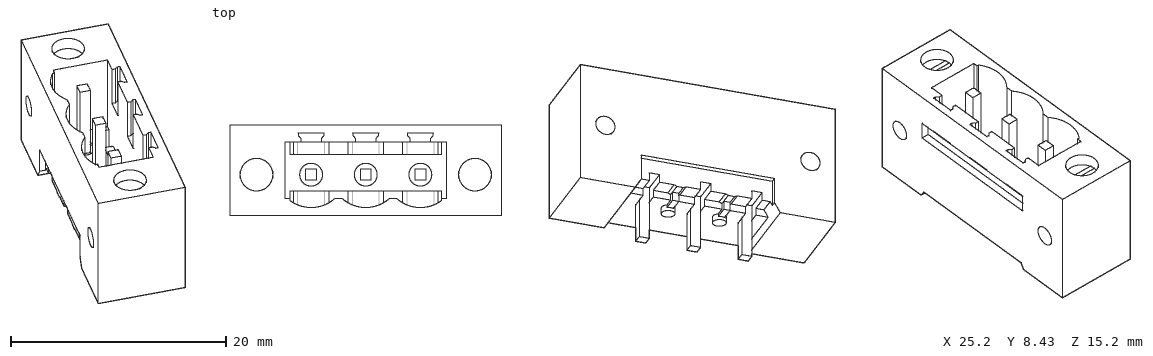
import cadquery as cq
import math


LENGTH = 25.25
DEPTH = 8.43
HEIGHT = 11.96

PITCH = 5.07
PIN_COUNT = 3
PIN_SIZE = 1
PIN_TOP = 11.18
PIN_BOTTOM = -3.23
ROW_Y = 3.8
PIN_XS = [(i - (PIN_COUNT - 1) / 2) * PITCH for i in range(PIN_COUNT)]
GAP_XS = [(left + right) / 2 for left, right in zip(PIN_XS, PIN_XS[1:])]

POCKET_LENGTH = 15.0
POCKET_FRONT = 1.6
POCKET_BACK = 6.85
POCKET_FLOOR = 4.01
SCALLOP_FRONT = 0.75
SCALLOP_RADIUS = 3.3
PIN_RECESS_DIAMETER = 2.12
PIN_RECESS_DEPTH = 0.25

TROUGH_LENGTH = 14.05
TROUGH_BASE = 1.77
ISLAND_FRONT = 2.27
ISLAND_BACK = 5.68

HUMP_WIDTH = 3.28
HUMP_RADIUS = 1.45
HUMP_FLAT_ANGLE = math.radians(60)

KEYWAY_BACK = 7.67
KEYWAY_SHOULDER = 7.45
KEYWAY_NECK_END = 7.17
KEYWAY_WIDTH = 2.37
KEYWAY_NECK_WIDTH = 1.9
KEYWAY_FLOOR = 7.93

BACK_RECESS_HEIGHT = 1.77

FLANGE_X = 2 * PITCH
SCREW_HOLE_DIAMETER = 3.03
SCREW_HOLE_DEPTH = 1.2
CAVITY_LENGTH_Y = 6.55
CAVITY_WIDTH = 4.0
CAVITY_LEDGE = 9.04
CAVITY_FLOOR = 7.57
CROSS_HOLE_DIAMETER = 1.9
CROSS_HOLE_Z = 5.98

CHANNEL_BASE_LENGTH = 14.34
CHANNEL_TOP_LENGTH = 12.75
CHANNEL_HEIGHT = 1.3
SHELF_HEIGHT = 0.6
SHELF_FRONT = ISLAND_FRONT
RECESS_LENGTH = 13.18
RECESS_TOP = 3.5
RECESS_DEPTH = 0.58
PIN_SLOT_TOP = 2.12

STANDOFF_DIAMETER = 1.29
KEEL_TOP_WIDTH = 1.19
KEEL_BOTTOM = 1.19
WEB_WIDTH = 0.63
WEB_BOTTOM = 0.33
WEB_FRONT = 1.77


def box(x_middle, width, y_start, y_end, z_start, z_end):
    """Box centred on x_middle in X, between the given Y and Z limits."""
    return cq.Workplane("XY").box(
        width, y_end - y_start, z_end - z_start, centered=(True, False, False)
    ).translate((x_middle, y_start, z_start))


def prism_along_y(profile, y_start, y_end):
    """Extrude a closed XZ profile from y_start to y_end."""
    return profile.extrude(y_start - y_end).translate((0, y_start, 0))


def vertical_cylinder(x, diameter, z_start, z_end):
    """Upright cylinder on the pin row."""
    return cq.Workplane("XY").circle(diameter / 2).extrude(z_end - z_start).translate((x, ROW_Y, z_start))


def pocket():
    """Plug pocket, with a scallop in the front wall at each pin, cut off at the trough ends."""
    space = box(0, POCKET_LENGTH, POCKET_FRONT, POCKET_BACK, POCKET_FLOOR, HEIGHT)
    return space.union(scallops(POCKET_FLOOR, HEIGHT))


def scallops(z_start, z_end):
    """Round bays in the front wall, limited to the length of the troughs."""
    limit = box(0, TROUGH_LENGTH, SCALLOP_FRONT, ISLAND_FRONT, z_start, z_end)
    bays = cq.Workplane("XY")
    for x in PIN_XS:
        bays = bays.union(
            cq.Workplane("XY").circle(SCALLOP_RADIUS).extrude(z_end - z_start)
            .translate((x, SCALLOP_FRONT + SCALLOP_RADIUS, z_start))
        )
    return limit.intersect(bays)


def hump(x, y_start, y_end):
    """Rounded ridge standing on the trough base."""
    half_width = HUMP_WIDTH / 2
    arc_x = HUMP_RADIUS * math.sin(HUMP_FLAT_ANGLE)
    arc_z = TROUGH_BASE + (half_width - arc_x) * math.tan(HUMP_FLAT_ANGLE)
    peak_z = arc_z + HUMP_RADIUS * (1 - math.cos(HUMP_FLAT_ANGLE))
    profile = (
        cq.Workplane("XZ")
        .moveTo(x - half_width, TROUGH_BASE)
        .lineTo(x - arc_x, arc_z)
        .threePointArc((x, peak_z), (x + arc_x, arc_z))
        .lineTo(x + half_width, TROUGH_BASE)
        .close()
    )
    return prism_along_y(profile, y_start, y_end)


def troughs():
    """Space of both troughs, less the humps in line with the pins."""
    front = box(0, TROUGH_LENGTH, POCKET_FRONT, ISLAND_FRONT, TROUGH_BASE, POCKET_FLOOR)
    front = front.union(scallops(TROUGH_BASE, POCKET_FLOOR))
    back = box(0, TROUGH_LENGTH, ISLAND_BACK, POCKET_BACK, TROUGH_BASE, POCKET_FLOOR)
    space = front.union(back)
    for x in PIN_XS:
        space = space.cut(hump(x, 0, DEPTH))
    return space


def keyway(x):
    """Dovetail groove, open to the pocket."""
    half_width = KEYWAY_WIDTH / 2
    half_neck = KEYWAY_NECK_WIDTH / 2
    return (
        cq.Workplane("XY")
        .polyline([
            (x - half_neck, POCKET_BACK),
            (x - half_neck, KEYWAY_NECK_END),
            (x - half_width, KEYWAY_SHOULDER),
            (x - half_width, KEYWAY_BACK),
            (x + half_width, KEYWAY_BACK),
            (x + half_width, KEYWAY_SHOULDER),
            (x + half_neck, KEYWAY_NECK_END),
            (x + half_neck, POCKET_BACK),
        ])
        .close()
        .extrude(HEIGHT - KEYWAY_FLOOR)
        .translate((0, 0, KEYWAY_FLOOR))
    )


def back_recess():
    """Long recess as deep as the keyway backs, centred on the keyway floors."""
    z_start = KEYWAY_FLOOR - BACK_RECESS_HEIGHT / 2
    return box(0, TROUGH_LENGTH, KEYWAY_BACK, DEPTH, z_start, z_start + BACK_RECESS_HEIGHT)


def flange_openings(x):
    """Screw hole with its stepped cavity, and the cross hole below it."""
    cavity_top = HEIGHT - SCREW_HOLE_DEPTH
    cavity_front = ROW_Y - CAVITY_LENGTH_Y / 2
    cavity_back = ROW_Y + CAVITY_LENGTH_Y / 2
    screw_hole = vertical_cylinder(x, SCREW_HOLE_DIAMETER, cavity_top, HEIGHT)
    upper = box(x, CAVITY_WIDTH, cavity_front, cavity_back, CAVITY_LEDGE, cavity_top)
    lower = box(x, SCREW_HOLE_DIAMETER, cavity_front, cavity_back, CAVITY_FLOOR, CAVITY_LEDGE)
    cross_hole = prism_along_y(
        cq.Workplane("XZ").center(x, CROSS_HOLE_Z).circle(CROSS_HOLE_DIAMETER / 2), 0, DEPTH
    )
    return screw_hole.union(upper).union(lower).union(cross_hole)


def underside_channel():
    """Channel with sloping ends, shallower under the shelf that carries the standoffs."""
    half_base = CHANNEL_BASE_LENGTH / 2
    half_top = CHANNEL_TOP_LENGTH / 2
    profile = (
        cq.Workplane("XZ")
        .polyline([
            (-half_base, 0),
            (-half_top, CHANNEL_HEIGHT),
            (half_top, CHANNEL_HEIGHT),
            (half_base, 0),
        ])
        .close()
    )
    shelf = box(0, CHANNEL_BASE_LENGTH, SHELF_FRONT, DEPTH, SHELF_HEIGHT, CHANNEL_HEIGHT)
    return prism_along_y(profile, 0, DEPTH).cut(shelf)


def standoff(x):
    """Round foot below the shelf, with a web and a tapered keel reaching forward from it."""
    foot = vertical_cylinder(x, STANDOFF_DIAMETER, 0, SHELF_HEIGHT)
    web = box(x, WEB_WIDTH, WEB_FRONT, ROW_Y, WEB_BOTTOM, CHANNEL_HEIGHT)
    keel_profile = (
        cq.Workplane("XZ")
        .polyline([
            (x - KEEL_TOP_WIDTH / 2, CHANNEL_HEIGHT),
            (x - WEB_WIDTH / 2, KEEL_BOTTOM),
            (x + WEB_WIDTH / 2, KEEL_BOTTOM),
            (x + KEEL_TOP_WIDTH / 2, CHANNEL_HEIGHT),
        ])
        .close()
    )
    keel = prism_along_y(keel_profile, RECESS_DEPTH, SHELF_FRONT)
    return foot.union(web).union(keel)


def pin(x):
    """Straight square contact pin."""
    pin_front = ROW_Y - PIN_SIZE / 2
    return box(x, PIN_SIZE, pin_front, pin_front + PIN_SIZE, PIN_BOTTOM, PIN_TOP)


def pin_passage(x):
    """Matching hole for a pin, the round recess around it and the slot that opens it to the front."""
    recess = vertical_cylinder(x, PIN_RECESS_DIAMETER, POCKET_FLOOR - PIN_RECESS_DEPTH, POCKET_FLOOR)
    slot = box(x, PIN_SIZE, 0, ROW_Y, 0, PIN_SLOT_TOP)
    return pin(x).union(recess).union(slot)


def build_housing():
    """Housing with all its openings and standoffs."""
    body = box(0, LENGTH, 0, DEPTH, 0, HEIGHT)
    body = body.cut(pocket()).cut(troughs())
    body = body.cut(underside_channel())
    body = body.cut(box(0, RECESS_LENGTH, 0, RECESS_DEPTH, 0, RECESS_TOP))
    for x in GAP_XS:
        body = body.union(standoff(x))
    for x in PIN_XS:
        body = body.cut(keyway(x)).cut(pin_passage(x))
    body = body.cut(back_recess())
    for x in (-FLANGE_X, FLANGE_X):
        body = body.cut(flange_openings(x))
    return body


housing = build_housing()
pins = [pin(x) for x in PIN_XS]

result = cq.Compound.makeCompound([housing.val(), *[contact.val() for contact in pins]])